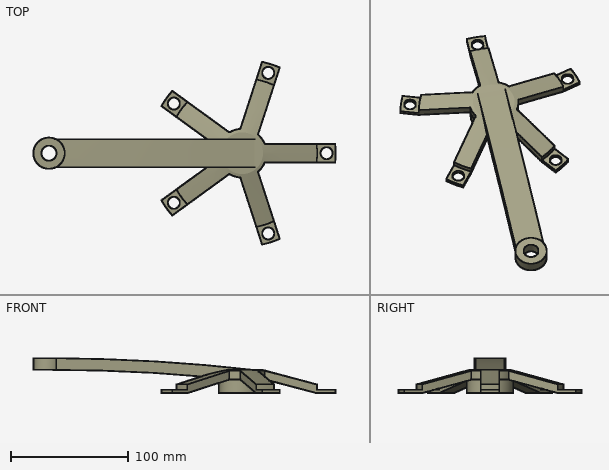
import cadquery as cq
import math

arm_count = 5
arm_width = 16.0
spider_diameter = 160.0
tip_radius = spider_diameter / 2
step_radius = 64.0
crown_radius = 17.8
slope = math.tan(math.radians(15))
spider_height = 20.0
pad_thickness = 3.0
bolt_circle_radius = 72.0
bolt_hole_diameter = 10.0

hub_radius = 21.0
boss_diameter = 40.0
boss_height = 15.0

overall_length = 258.5
overall_height = 30.0
crank_width = 24.0
crank_end_x = 10.5
eye_diameter = 27.0
eye_hole_diameter = 12.7
eye_x = tip_radius - overall_length + eye_diameter / 2
eye_thickness = overall_height - spider_height


def make_spider():
    """Shallow cone with a flat rim, trimmed to a hub disc and radial arms."""
    underside_height = slope * (step_radius - crown_radius)
    step_height = spider_height - underside_height
    cone = (
        cq.Workplane("XZ")
        .polyline([
            (0, underside_height),
            (crown_radius, underside_height),
            (step_radius, 0),
            (tip_radius, 0),
            (tip_radius, pad_thickness),
            (step_radius, pad_thickness),
            (step_radius, step_height),
            (crown_radius, spider_height),
            (0, spider_height),
        ])
        .close()
        .revolve(360, (0, 0, 0), (0, 1, 0))
    )
    footprint = cq.Workplane("XY").circle(hub_radius).extrude(spider_height)
    arm = cq.Workplane("XY").box(
        spider_diameter, arm_width, spider_height, centered=(False, True, False)
    )
    for index in range(arm_count):
        footprint = footprint.union(arm.rotate((0, 0, 0), (0, 0, 1), index * 360 / arm_count))
    return cone.intersect(footprint)


def make_boss():
    """Round boss under the hub, running up into the hub disc."""
    return cq.Workplane("XY").circle(boss_diameter / 2).extrude(boss_height)


def make_crank():
    """Bar of constant depth, level at the eye and curving down to the hub top."""
    reach = crank_end_x - eye_x
    drop = overall_height - spider_height
    curve_radius = (reach**2 + drop**2) / (2 * drop)
    half_sweep = math.asin(reach / curve_radius) / 2
    middle_x = eye_x + curve_radius * math.sin(half_sweep)
    middle_z = overall_height - curve_radius * (1 - math.cos(half_sweep))
    return (
        cq.Workplane("XZ")
        .moveTo(eye_x, overall_height)
        .threePointArc((middle_x, middle_z), (crank_end_x, spider_height))
        .lineTo(crank_end_x, spider_height - eye_thickness)
        .threePointArc((middle_x, middle_z - eye_thickness), (eye_x, overall_height - eye_thickness))
        .close()
        .extrude(crank_width / 2, both=True)
    )


def make_eye():
    """Round eye at the outer end of the crank."""
    return (
        cq.Workplane("XY", origin=(eye_x, 0, overall_height - eye_thickness))
        .circle(eye_diameter / 2)
        .extrude(eye_thickness)
    )


eye_hole = cq.Workplane("XY").center(eye_x, 0).circle(eye_hole_diameter / 2).extrude(overall_height)
bolt_holes = (
    cq.Workplane("XY")
    .polarArray(bolt_circle_radius, 0, 360, arm_count)
    .circle(bolt_hole_diameter / 2)
    .extrude(spider_height)
)

result = make_spider().union(make_boss()).union(make_crank()).union(make_eye())
result = result.cut(eye_hole).cut(bolt_holes)